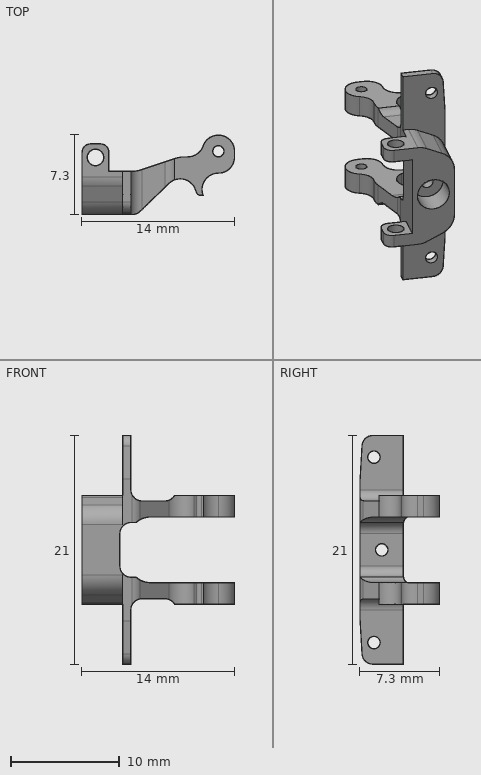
import cadquery as cq
import math


body_half_height = 5.0
body_depth = 4.0
slope_low_z = 3.6
slope_high_y = 3.02
slope_radius = 2.0
bore_y = 2.0
bore_diameter = 3.0
bore_depth = 2.5
screw_diameter = 1.11

lug_length = 2.48
lug_top_y = 6.5
lug_thickness = 1.2
lug_corner_radius = 0.8
lug_hole_y = 5.25
lug_hole_diameter = 1.5

plate_x = 3.74
plate_thickness = 0.75
plate_end_x = plate_x + plate_thickness
plate_half_height = 10.5
plate_taper_z = 6.5
plate_taper_depth = 0.23
plate_corner_radius = 1.0
plate_hole_y = 1.28
plate_hole_z = 8.5

slot_x = 3.49
slot_half_height = 2.5
slot_corner_radius = 1.0

arm_inner_z = 3.0
arm_outer_z = 4.5
arm_blend_radius = 1.0
arm_neck_end_x = 7.62
root_step_x = 4.95
root_step_radius = 2.0

part_length = 14.0
part_depth = 7.3
eye_radius = 1.5
eye_hole_diameter = 1.0
eye_x = part_length - eye_radius
eye_y = part_depth - eye_radius
eye_low_y = 5.3
bend_x = 5.02
low_bend_radius = 1.0
high_bend_radius = 2.52
shoulder_x = 8.99
shoulder_y = 5.31
underside_angle = math.radians(44)
recess_top_y = 3.28
recess_end_angle = math.radians(32)
hook_flank_end = (10.5, 2.02)
hook_tip_middle = (10.7, 1.8)
hook_tip_x = 10.96
hook_tip_y = 1.76


def on_circle(center, radius, angle):
    return (center[0] + radius * math.cos(angle), center[1] + radius * math.sin(angle))


def along_x(outline, start_x, length):
    """Extrude a YZ outline along +X from start_x."""
    return cq.Workplane("YZ", origin=(start_x, 0, 0)).polyline(outline).close().extrude(length)


def round_at(solid, corners, direction, radius):
    """Round the edges parallel to a direction that pass nearest to the given corners."""
    for corner in corners:
        edges = solid.edges(direction).edges(cq.selectors.NearestToPointSelector(corner))
        solid = edges.fillet(radius)
    return solid


def make_body():
    half = [(0, slope_low_z), (slope_high_y, body_half_height), (body_depth, body_half_height)]
    outline = half + [(y, -z) for y, z in reversed(half)]
    body = along_x(outline, 0, plate_end_x)
    corners = [(plate_end_x / 2, y, side * z) for y, z in half[:2] for side in (1, -1)]
    return round_at(body, corners, "|X", slope_radius)


def make_lug():
    lug_root_y = (slope_high_y + 3 * body_depth) / 4
    base_z = body_half_height - lug_thickness
    lug = (
        cq.Workplane("XY", origin=(0, 0, base_z))
        .moveTo(0, lug_root_y)
        .lineTo(lug_length, lug_root_y)
        .lineTo(lug_length, lug_top_y)
        .lineTo(0, lug_top_y)
        .close()
        .extrude(lug_thickness)
    )
    lug = lug.edges("|Z and >Y").fillet(lug_corner_radius)
    hole = (
        cq.Workplane("XY", origin=(lug_length / 2, lug_hole_y, base_z))
        .circle(lug_hole_diameter / 2)
        .extrude(lug_thickness)
    )
    return lug.cut(hole)


def make_plate():
    half = [
        (0, plate_taper_z),
        (plate_taper_depth, plate_half_height),
        (body_depth, plate_half_height),
    ]
    plate = along_x(half + [(y, -z) for y, z in reversed(half)], plate_x, plate_thickness)
    corners = [(plate_x, plate_taper_depth, side * plate_half_height) for side in (1, -1)]
    plate = round_at(plate, corners, "|X", plate_corner_radius)
    holes = (
        cq.Workplane("YZ", origin=(plate_x, 0, 0))
        .pushPoints([(plate_hole_y, plate_hole_z), (plate_hole_y, -plate_hole_z)])
        .circle(screw_diameter / 2)
        .extrude(plate_thickness)
    )
    return plate.cut(holes)


def make_arm_side():
    """Arm outline in XY, taller in Z than one finished arm."""
    recess_y = recess_top_y - eye_radius
    recess_x = bend_x + (recess_y + eye_radius / math.cos(underside_angle)) / math.tan(underside_angle)
    recess = (recess_x, recess_y)
    recess_start = on_circle(recess, eye_radius, math.pi / 2 + underside_angle)
    recess_top = (recess_x, recess_top_y)
    recess_end = on_circle(recess, eye_radius, recess_end_angle)

    hollow = (eye_x, eye_low_y - 2 * eye_radius)
    hollow_tip_angle = math.pi + math.asin((hollow[1] - hook_tip_y) / eye_radius)
    hollow_tip = on_circle(hollow, eye_radius, hollow_tip_angle)
    hollow_middle = on_circle(hollow, eye_radius, math.radians(135))
    hollow_top = (eye_x, eye_low_y - eye_radius)

    neck_y = shoulder_y + eye_radius
    neck_x = eye_x - math.sqrt((2 * eye_radius) ** 2 - (neck_y - eye_y) ** 2)
    neck_eye_angle = math.atan2(eye_y - neck_y, eye_x - neck_x)
    neck_start = on_circle((neck_x, neck_y), eye_radius, neck_eye_angle)
    neck_middle = on_circle((neck_x, neck_y), eye_radius, (neck_eye_angle - math.pi / 2) / 2)

    side = (
        cq.Workplane("XY")
        .moveTo(plate_x, 0)
        .lineTo(bend_x, 0)
        .lineTo(*recess_start)
        .threePointArc(recess_top, recess_end)
        .lineTo(*hook_flank_end)
        .threePointArc(hook_tip_middle, (hook_tip_x, hook_tip_y))
        .lineTo(*hollow_tip)
        .threePointArc(hollow_middle, hollow_top)
        .threePointArc(on_circle((eye_x, eye_low_y), eye_radius, -math.pi / 4), (part_length, eye_low_y))
        .lineTo(part_length, eye_y)
        .threePointArc((eye_x, part_depth), neck_start)
        .threePointArc(neck_middle, (neck_x, shoulder_y))
        .lineTo(shoulder_x, shoulder_y)
        .lineTo(bend_x, body_depth)
        .lineTo(plate_x, body_depth)
        .close()
        .extrude(plate_half_height)
    )
    middle_z = plate_half_height / 2
    side = round_at(side, [(bend_x, 0, middle_z)], "|Z", low_bend_radius)
    high_corners = [(bend_x, body_depth, middle_z), (shoulder_x, shoulder_y, middle_z)]
    side = round_at(side, high_corners, "|Z", high_bend_radius)
    eye_hole = cq.Workplane("XY", origin=(eye_x, eye_y, 0)).circle(eye_hole_diameter / 2)
    return side.cut(eye_hole.extrude(plate_half_height))


def make_arm_front():
    """Thickness outline of the upper arm in XZ, extruded across the full depth."""
    step_height = arm_inner_z - slot_half_height
    step_length = math.sqrt(root_step_radius**2 - (root_step_radius - step_height) ** 2)
    step = (root_step_x + step_length, arm_inner_z - root_step_radius)
    step_half_angle = math.pi / 2 + math.asin(step_length / root_step_radius) / 2

    head_height = body_half_height - arm_outer_z
    head_length = math.sqrt(arm_blend_radius**2 - (arm_blend_radius - head_height) ** 2)
    head = (arm_neck_end_x, arm_outer_z + arm_blend_radius)
    head_half_angle = -math.pi / 2 + math.asin(head_length / arm_blend_radius) / 2

    root = (plate_end_x + arm_blend_radius, arm_outer_z + arm_blend_radius)
    return (
        cq.Workplane("XZ")
        .moveTo(plate_x, slot_half_height)
        .lineTo(root_step_x, slot_half_height)
        .threePointArc(on_circle(step, root_step_radius, step_half_angle), (step[0], arm_inner_z))
        .lineTo(part_length, arm_inner_z)
        .lineTo(part_length, body_half_height)
        .lineTo(arm_neck_end_x + head_length, body_half_height)
        .threePointArc(on_circle(head, arm_blend_radius, head_half_angle), (head[0], arm_outer_z))
        .lineTo(root[0], arm_outer_z)
        .threePointArc(on_circle(root, arm_blend_radius, math.radians(225)), (plate_end_x, root[1]))
        .lineTo(plate_x, root[1])
        .close()
        .extrude(-part_depth)
    )


def make_slot():
    slot = cq.Workplane("XY").box(
        root_step_x - slot_x, body_depth, 2 * slot_half_height, centered=(False, False, True)
    )
    return slot.translate((slot_x, 0, 0)).edges("|Y and <X").fillet(slot_corner_radius)


def make_bore():
    start = cq.Workplane("YZ").center(bore_y, 0)
    counterbore = start.circle(bore_diameter / 2).extrude(bore_depth)
    return counterbore.union(start.circle(screw_diameter / 2).extrude(plate_end_x))


upper_side = make_lug().union(make_arm_side().intersect(make_arm_front()))
lower_side = upper_side.mirror("XY")
result = make_body().union(make_plate()).cut(make_slot()).cut(make_bore())
result = result.union(upper_side).union(lower_side)